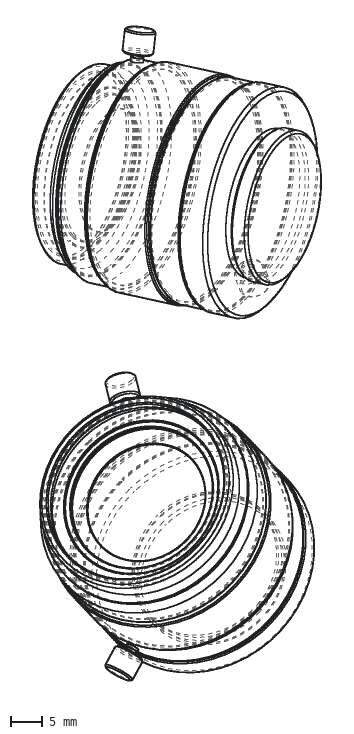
import cadquery as cq
import math

length = 37.45
front_tube_end = 3.5
front_cone_end = 4.5
front_land_end = 5.05
clamp_ring_start = 5.4
clamp_cone_end = 6.5
clamp_ring_end = 11.0
main_start = 11.45
main_end = 22.45
iris_ring_start = 23.0
iris_ring_end = 28.3
rear_ring_start = 28.5
rear_ring_end = 33.42
neck_end = 34.4

front_tube_dia = 32.95
front_land_dia = 35.05
front_groove_dia = 34.4
clamp_cone_dia = 34.8
clamp_ring_dia = 36.95
clamp_groove_dia = 35.5
main_dia = 38.0
main_groove_dia = 36.4
iris_ring_dia = 37.5
iris_groove_dia = 37.15
neck_dia = 24.65
mount_dia = 25.35

front_chamfer = 0.5
rear_chamfer = 0.6
mount_chamfer = 0.45
mount_lead = 0.4
edge_chamfer = 0.23
fine_chamfer = 0.15

bore_dia = 30.0
bore_chamfer = 0.23
bore_relief_dia = 30.35
bore_relief_start = 1.55
floor_depth = 2.75
retainer_gap_outer_dia = 26.45
retainer_gap_inner_dia = 26.1
retainer_gap_bottom = 3.13
retainer_depth = 2.95
seat_dia = 24.1
seat_chamfer = 0.2
seat_end = 3.65
lens_cone_dia = 20.3
lens_cone_end = 5.2
lens_dia = 20.1
lens_edge_depth = 5.53
lens_sag = 2.1

knob_dia = 5.03
knob_chamfer = 0.25
knob_inner_radius = 19.85
knob_outer_radius = 23.75
screw_neck_dia = 1.55
screw_boss_dia = 2.1
screw_boss_radius = 19.15
screw_root_radius = 17.2
clamp_screw_x = 8.0
clamp_screw_angle = 13.2
iris_screw_x = 25.45
iris_screw_angle = 150.0


def ring_points(start, end, dia, start_chamfer, end_chamfer):
    """Half-section outline of a ring with 45 degree chamfers on its outer edges."""
    radius = dia / 2
    return [
        (start, radius - start_chamfer),
        (start + start_chamfer, radius),
        (end - end_chamfer, radius),
        (end, radius - end_chamfer),
    ]


def groove_points(start, end, dia):
    """Floor of a groove between two neighbouring rings."""
    return [(start, dia / 2), (end, dia / 2)]


def revolve_about_x(profile):
    return profile.close().revolve(360, (0, 0, 0), (1, 0, 0))


def make_barrel():
    mount_radius = mount_dia / 2
    points = [
        (0, 0),
        (0, front_tube_dia / 2 - front_chamfer),
        (front_chamfer, front_tube_dia / 2),
        (front_tube_end, front_tube_dia / 2),
        (front_cone_end, front_land_dia / 2),
        (front_land_end, front_land_dia / 2),
        (front_land_end + fine_chamfer, front_land_dia / 2 - fine_chamfer),
        *groove_points(front_land_end + fine_chamfer, clamp_ring_start, front_groove_dia),
        (clamp_ring_start, clamp_cone_dia / 2),
        (clamp_cone_end, clamp_ring_dia / 2),
        (clamp_ring_end - fine_chamfer, clamp_ring_dia / 2),
        (clamp_ring_end, clamp_ring_dia / 2 - fine_chamfer),
        *groove_points(clamp_ring_end, main_start, clamp_groove_dia),
        *ring_points(main_start, main_end, main_dia, edge_chamfer, edge_chamfer),
        *groove_points(main_end, iris_ring_start, main_groove_dia),
        *ring_points(iris_ring_start, iris_ring_end, iris_ring_dia, fine_chamfer, fine_chamfer),
        *groove_points(iris_ring_end, rear_ring_start, iris_groove_dia),
        *ring_points(rear_ring_start, rear_ring_end, main_dia, edge_chamfer, rear_chamfer),
        *groove_points(rear_ring_end, neck_end, neck_dia),
        (neck_end + mount_lead, mount_radius),
        (length - mount_chamfer, mount_radius),
        (length, mount_radius - mount_chamfer),
        (length, 0),
    ]
    return revolve_about_x(cq.Workplane("XY").polyline(points))


def make_front_cavity():
    """Bore, retainer gap and conical lens seat, closed by the convex lens surface."""
    bore_radius = bore_dia / 2
    lens_radius = lens_dia / 2
    lens_sphere_radius = (lens_radius**2 + lens_sag**2) / (2 * lens_sag)
    lens_apex = lens_edge_depth - lens_sag
    mid_lens_y = lens_radius / 2
    mid_lens_x = lens_apex + lens_sphere_radius - math.sqrt(lens_sphere_radius**2 - mid_lens_y**2)
    seat_radius = seat_dia / 2
    points = [
        (0, 0),
        (0, bore_radius + bore_chamfer),
        (bore_chamfer, bore_radius),
        (bore_relief_start, bore_radius),
        (bore_relief_start, bore_relief_dia / 2),
        (floor_depth, bore_relief_dia / 2),
        (floor_depth, retainer_gap_outer_dia / 2),
        (retainer_gap_bottom, retainer_gap_outer_dia / 2),
        (retainer_gap_bottom, retainer_gap_inner_dia / 2),
        (retainer_depth, retainer_gap_inner_dia / 2),
        (retainer_depth, seat_radius + seat_chamfer),
        (retainer_depth + seat_chamfer, seat_radius),
        (seat_end, seat_radius),
        (lens_cone_end, lens_cone_dia / 2),
        (lens_cone_end, lens_radius),
        (lens_edge_depth, lens_radius),
    ]
    profile = cq.Workplane("XY").polyline(points)
    profile = profile.threePointArc((mid_lens_x, mid_lens_y), (lens_apex, 0))
    return revolve_about_x(profile)


def make_screw(x, angle):
    """Radial locking screw at station x, turned from +Z towards +Y by angle degrees."""
    root = cq.Workplane("XY").workplane(offset=screw_root_radius)
    boss = root.circle(screw_boss_dia / 2).extrude(screw_boss_radius - screw_root_radius)
    neck = root.circle(screw_neck_dia / 2).extrude(knob_outer_radius - screw_root_radius)
    knob = (
        cq.Workplane("XY")
        .workplane(offset=knob_inner_radius)
        .circle(knob_dia / 2)
        .extrude(knob_outer_radius - knob_inner_radius)
        .edges()
        .chamfer(knob_chamfer)
    )
    screw = boss.union(neck).union(knob)
    return screw.rotate((0, 0, 0), (1, 0, 0), -angle).translate((x, 0, 0))


result = (
    make_barrel()
    .cut(make_front_cavity())
    .union(make_screw(clamp_screw_x, clamp_screw_angle))
    .union(make_screw(iris_screw_x, iris_screw_angle))
)